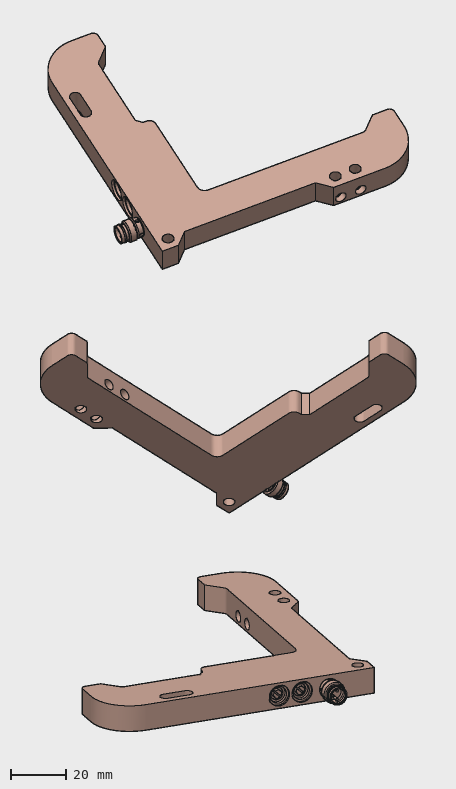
import cadquery as cq
import math

span = 105.0
thickness = 10.0
mid_height = thickness / 2
arm_width = 19.0
hook_width = 25.0
hook_flat = 8.0
outer_radius = 15.0
tip_radius = 2.0
hook_root_radius = 2.0
inner_radius = 3.0

step_x = 46.5
step_radius = 2.6
step_chamfer = 2.0

relief_depth = 4.9
relief_bottom = 6.5
relief_top = 69.0

hole_diameter = 4.2
hole_inset = 4.6
upper_hole_y = 72.0
hole_pitch = 8.0
cross_hole_z = 3.1
slot_center_x = 29.0
slot_length = 12.6

adjuster_xs = (67.6, 76.6)
adjuster_steps = (
    (4.0, 0.9),
    (3.2, 2.3),
    (2.4, 3.2),
)
rotor_radius = 1.6
rotor_top_depth = 1.6
rotor_slot_width = 0.6
rotor_slot_depth = 0.7
rotor_slot_angle = 45

connector_x = 87.0
connector_length = 9.0
nut_radius = 3.8
nut_edge_radius = 3.4
nut_edge = 0.5
nut_end = 2.7
neck_radius = 3.1
collar_radius = 4.1
collar_start = 3.2
collar_end = 5.9
collar_chamfer = 0.5
plug_start = 7.1
plug_ring_end = 7.7
plug_ring_radius = 3.5
plug_radius = 3.4
socket_radius = 2.7
socket_depth = 4.0
socket_mouth_chamfer = 0.2
pin_radius = 0.5
pin_length = 2.8
pin_circle_radius = 1.7
pin_angles = (90, 180, 270)
nut_hole_diameter = 1.4
nut_hole_y = 1.4
nut_hole_depth = 0.9


def front_plane(x, depth):
    """Plane facing -Y on the axis at x, sunk by depth behind the front edge."""
    return cq.Workplane("XZ", origin=(x, depth, mid_height))


def make_plate():
    hook_rise = hook_width - arm_width
    hook_root = hook_flat + hook_rise
    hook_inner_x = span - hook_width
    arm_inner_x = span - arm_width
    relief_x = span - relief_depth
    outline = [
        (0, 0),
        (span, 0),
        (span, relief_bottom),
        (relief_x, relief_bottom + relief_depth),
        (relief_x, relief_top - relief_depth),
        (span, relief_top),
        (span, span),
        (hook_inner_x, span),
        (hook_inner_x, span - hook_flat),
        (arm_inner_x, span - hook_root),
        (arm_inner_x, hook_width),
        (step_x, hook_width),
        (step_x, arm_width + step_chamfer),
        (step_x - step_chamfer, arm_width),
        (hook_root, arm_width),
        (hook_flat, hook_width),
        (0, hook_width),
    ]
    rounded_corners = [
        ((0, 0), outer_radius),
        ((span, span), outer_radius),
        ((hook_inner_x, span), tip_radius),
        ((0, hook_width), tip_radius),
        ((arm_inner_x, span - hook_root), hook_root_radius),
        ((hook_root, arm_width), hook_root_radius),
        ((arm_inner_x, hook_width), inner_radius),
        ((step_x, hook_width), step_radius),
    ]
    plate = cq.Workplane("XY").polyline(outline).close().extrude(thickness)
    for (x, y), radius in rounded_corners:
        corner = cq.selectors.NearestToPointSelector((x, y, mid_height))
        plate = plate.edges("|Z").edges(corner).fillet(radius)
    return plate


def make_mounting_holes():
    hole_x = span - hole_inset
    hole_ys = (upper_hole_y, upper_hole_y + hole_pitch)
    upright = [(hole_x, hole_inset)] + [(hole_x, y) for y in hole_ys]
    holes = cq.Workplane("XY").pushPoints(upright).circle(hole_diameter / 2).extrude(thickness)
    slot = (
        cq.Workplane("XY")
        .center(slot_center_x, hole_inset)
        .slot2D(slot_length, hole_diameter)
        .extrude(thickness)
    )
    cross = (
        cq.Workplane("YZ")
        .pushPoints([(y, cross_hole_z) for y in hole_ys])
        .circle(hole_diameter / 2)
        .extrude(span)
    )
    return holes.union(slot).union(cross)


def make_adjuster_recess(x):
    """Stepped bore that leaves a slotted rotor standing on its floor."""
    floor_depth = max(depth for _, depth in adjuster_steps)
    rotor = front_plane(x, floor_depth).circle(rotor_radius).extrude(floor_depth - rotor_top_depth)
    slot = (
        front_plane(x, rotor_top_depth + rotor_slot_depth)
        .transformed(rotate=(0, 0, -rotor_slot_angle))
        .rect(2 * rotor_radius, rotor_slot_width)
        .extrude(rotor_slot_depth)
    )
    recess = cq.Workplane("XY")
    for radius, depth in adjuster_steps:
        recess = recess.add(front_plane(x, depth).circle(radius).extrude(depth))
    return recess.combine().cut(rotor.cut(slot))


def make_connector():
    """Turned body along -Y, with a socket holding three pins."""
    profile = [
        (0, 0),
        (nut_edge_radius, 0),
        (nut_radius, nut_edge),
        (nut_radius, nut_end - nut_edge),
        (nut_edge_radius, nut_end),
        (neck_radius, nut_end),
        (neck_radius, collar_start),
        (collar_radius, collar_start),
        (collar_radius, collar_end - collar_chamfer),
        (collar_radius - collar_chamfer, collar_end),
        (neck_radius, collar_end),
        (neck_radius, plug_start),
        (plug_ring_radius, plug_start),
        (plug_ring_radius, plug_ring_end),
        (plug_radius, plug_ring_end),
        (plug_radius, connector_length),
        (0, connector_length),
    ]
    points = [(radius, -distance) for radius, distance in profile]
    body = cq.Workplane("XY").polyline(points).close().revolve(360, (0, 0), (0, 1))
    body = body.translate((connector_x, 0, mid_height))

    socket_floor = socket_depth - connector_length
    socket = front_plane(connector_x, socket_floor).circle(socket_radius).extrude(socket_depth)
    pin_centers = [
        (pin_circle_radius * math.cos(math.radians(a)), pin_circle_radius * math.sin(math.radians(a)))
        for a in pin_angles
    ]
    pins = (
        front_plane(connector_x, socket_floor)
        .pushPoints(pin_centers)
        .circle(pin_radius)
        .extrude(pin_length)
    )
    body = body.cut(socket)
    socket_mouth = cq.selectors.RadiusNthSelector(0)
    body = body.faces("<Y").edges(socket_mouth).chamfer(socket_mouth_chamfer)
    body = body.union(pins)

    spanner_hole = (
        cq.Workplane("XY", origin=(connector_x, -nut_hole_y, mid_height + nut_radius - nut_hole_depth))
        .circle(nut_hole_diameter / 2)
        .extrude(2 * nut_hole_depth)
    )
    axis_start = (connector_x, 0, mid_height)
    axis_end = (connector_x, 1, mid_height)
    for angle in (0, 90, 180, 270):
        body = body.cut(spanner_hole.rotate(axis_start, axis_end, angle))
    return body


result = make_plate().cut(make_mounting_holes())
for adjuster_x in adjuster_xs:
    result = result.cut(make_adjuster_recess(adjuster_x))
result = result.union(make_connector())